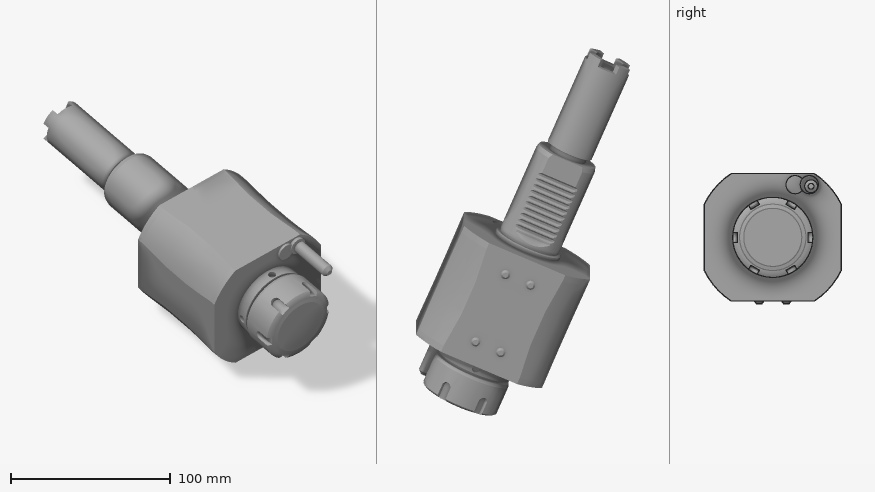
import cadquery as cq
import math


BODY_LENGTH = 76.0
BODY_WIDTH = 86.0
BODY_HEIGHT = 80.0
CORNER_RADIUS = 47.7
WAIST_RADIUS = 46.4
CORNER_LAND = 4.2
PLUG_RADIUS = 7.8
PLUG_DEPTH = 1.0
PLUG_Y = 15.8
PLUG_Z = 27.5

FLANGE_LENGTH = 2.6
FLANGE_RADIUS = 22.0
FLANGE_CHAMFER = 0.6
SEAL_GROOVE_WIDTH = 1.7
SEAL_GROOVE_DEPTH = 0.25
SHANK_START = -63.2
SHANK_RADIUS = 20.0
SHANK_CHAMFER_LENGTH = 3.0
SHANK_CHAMFER_DEPTH = 0.8
NECK_RADIUS = 12.2
SHAFT_END = -66.6
SHAFT_RADIUS = 15.0
SHAFT_CHAMFER = 0.4
SHAFT_START = -130.35

CLAW_LENGTH = 4.9
CLAW_BORE_RADIUS = 9.9
CLAW_BORE_DEPTH = 5.6
CLAW_COUNT = 4
CLAW_GAP_ANGLE = 49.0

FLAT_Z = -16.4
FLAT_END = -8.8
FLAT_RUNOUT_LENGTH = 3.5
TOOTH_PITCH = 4.0
GROOVE_COUNT = 10
GROOVE_DEPTH = 1.5
GROOVE_TOP_WIDTH = 3.4
GROOVE_FLOOR_WIDTH = 1.2
FIRST_GROOVE_X = -47.9

RING_END = 83.7
RING_RADIUS = 24.15
RING_HOLE_RADIUS = 2.5
RING_HOLE_DEPTH = 4.0
RING_HOLE_X = 80.4
RING_HOLE_COUNT = 4
NUT_NECK_RADIUS = 20.7
NUT_START = 85.5
NUT_REAR_RADIUS = 24.4
NUT_REAR_CHAMFER_LENGTH = 1.8
NUT_RADIUS = 25.1
NUT_SHOULDER_X = 106.0
NUT_ROUND_MID_X = 107.3
NUT_ROUND_MID_RADIUS = 23.2
NUT_NOSE_X = 107.9
NUT_NOSE_RADIUS = 20.8
NUT_LIP_RADIUS = 18.2
NUT_END = 108.5
NUT_SLOT_COUNT = 6
NUT_SLOT_WIDTH = 6.2
NUT_SLOT_START = 96.0
NUT_SLOT_FLOOR_RADIUS = 22.0

PIN_Y = 24.0
PIN_Z = 32.0
PIN_RADIUS = 4.0
PIN_END = 108.1
PIN_CHAMFER = 2.2
COLLAR_RADIUS = 5.7
COLLAR_Z = 33.0
PIN_COLLAR_Y = 22.9
PIN_COLLAR_LENGTH = 2.1
SIDE_COLLAR_Y = 14.0
SIDE_COLLAR_LENGTH = 1.5

SCREW_SPACING_X = 47.0
SCREW_SPACING_Y = 17.1
SCREW_HEIGHT = 1.6
SCREW_BASE_RADIUS = 2.9
SCREW_TIP_RADIUS = 1.7

CUT_CLEARANCE = 1.0

FULL_TURN = 360.0


def revolve_about_x(profile):
    return profile.close().revolve(FULL_TURN, (0, 0, 0), (1, 0, 0))


def disc_along_x(x, y, z, radius, length):
    return cq.Workplane("YZ", origin=(x, y, z)).circle(radius).extrude(length)


def make_body():
    block = cq.Workplane("XY").box(BODY_LENGTH, BODY_WIDTH, BODY_HEIGHT)
    block = block.translate((BODY_LENGTH / 2, 0, 0))
    waisted_round = revolve_about_x(
        cq.Workplane("XY")
        .moveTo(0, 0)
        .lineTo(0, CORNER_RADIUS)
        .lineTo(CORNER_LAND, CORNER_RADIUS)
        .threePointArc((BODY_LENGTH / 2, WAIST_RADIUS), (BODY_LENGTH - CORNER_LAND, CORNER_RADIUS))
        .lineTo(BODY_LENGTH, CORNER_RADIUS)
        .lineTo(BODY_LENGTH, 0)
    )
    plug_recess = disc_along_x(0, PLUG_Y, PLUG_Z, PLUG_RADIUS, PLUG_DEPTH)
    return block.intersect(waisted_round).cut(plug_recess)


def make_shank_and_shaft():
    groove_end = -FLANGE_LENGTH
    groove_start = groove_end - SEAL_GROOVE_WIDTH
    groove_radius = SHANK_RADIUS - SEAL_GROOVE_DEPTH
    return revolve_about_x(
        cq.Workplane("XY")
        .moveTo(SHAFT_START, 0)
        .lineTo(SHAFT_START, SHAFT_RADIUS)
        .lineTo(SHAFT_END - SHAFT_CHAMFER, SHAFT_RADIUS)
        .lineTo(SHAFT_END, SHAFT_RADIUS - SHAFT_CHAMFER)
        .lineTo(SHAFT_END, NECK_RADIUS)
        .lineTo(SHANK_START, NECK_RADIUS)
        .lineTo(SHANK_START, SHANK_RADIUS - SHANK_CHAMFER_DEPTH)
        .lineTo(SHANK_START + SHANK_CHAMFER_LENGTH, SHANK_RADIUS)
        .lineTo(groove_start, SHANK_RADIUS)
        .lineTo(groove_start, groove_radius)
        .lineTo(groove_end, groove_radius)
        .lineTo(groove_end, FLANGE_RADIUS - FLANGE_CHAMFER)
        .lineTo(groove_end + FLANGE_CHAMFER, FLANGE_RADIUS)
        .lineTo(0, FLANGE_RADIUS)
        .lineTo(0, 0)
    )


def make_claw_gaps():
    """Central recess and radial-sided gaps that leave the coupling claws standing."""
    gaps = disc_along_x(SHAFT_START, 0, 0, CLAW_BORE_RADIUS, CLAW_BORE_DEPTH)
    reach = 2 * SHAFT_RADIUS
    half_width = reach * math.tan(math.radians(CLAW_GAP_ANGLE / 2))
    wedge = (
        cq.Workplane("YZ", origin=(SHAFT_START, 0, 0))
        .polyline([(0, 0), (reach, -half_width), (reach, half_width)])
        .close()
        .extrude(CLAW_LENGTH)
    )
    for index in range(CLAW_COUNT):
        gaps = gaps.union(wedge.rotate((0, 0, 0), (1, 0, 0), index * FULL_TURN / CLAW_COUNT))
    return gaps


def make_flat_cut():
    """Material removed under the shank: the flat with its sloped run-out, and the tooth grooves."""
    below = -(SHANK_RADIUS + CUT_CLEARANCE)
    runout_end = FLAT_END + FLAT_RUNOUT_LENGTH
    width = 2 * SHANK_RADIUS
    flat = (
        cq.Workplane("XZ")
        .polyline([
            (SHANK_START, below),
            (SHANK_START, FLAT_Z),
            (FLAT_END, FLAT_Z),
            (runout_end, -SHANK_RADIUS),
            (runout_end, below),
        ])
        .close()
        .extrude(width / 2, both=True)
    )
    for index in range(GROOVE_COUNT):
        x = FIRST_GROOVE_X + index * TOOTH_PITCH
        groove = (
            cq.Workplane("XZ")
            .polyline([
                (x - GROOVE_TOP_WIDTH / 2, FLAT_Z),
                (x - GROOVE_FLOOR_WIDTH / 2, FLAT_Z + GROOVE_DEPTH),
                (x + GROOVE_FLOOR_WIDTH / 2, FLAT_Z + GROOVE_DEPTH),
                (x + GROOVE_TOP_WIDTH / 2, FLAT_Z),
            ])
            .close()
            .extrude(width / 2, both=True)
        )
        flat = flat.union(groove)
    return flat


def make_ring_and_nut():
    return revolve_about_x(
        cq.Workplane("XY")
        .moveTo(BODY_LENGTH, 0)
        .lineTo(BODY_LENGTH, RING_RADIUS)
        .lineTo(RING_END, RING_RADIUS)
        .lineTo(RING_END, NUT_NECK_RADIUS)
        .lineTo(NUT_START, NUT_NECK_RADIUS)
        .lineTo(NUT_START, NUT_REAR_RADIUS)
        .lineTo(NUT_START + NUT_REAR_CHAMFER_LENGTH, NUT_RADIUS)
        .lineTo(NUT_SHOULDER_X, NUT_RADIUS)
        .threePointArc((NUT_ROUND_MID_X, NUT_ROUND_MID_RADIUS), (NUT_NOSE_X, NUT_NOSE_RADIUS))
        .lineTo(NUT_END, NUT_LIP_RADIUS)
        .lineTo(NUT_END, 0)
    )


def make_ring_holes():
    hole = (
        cq.Workplane("XY", origin=(RING_HOLE_X, 0, RING_RADIUS - RING_HOLE_DEPTH))
        .circle(RING_HOLE_RADIUS)
        .extrude(2 * RING_HOLE_DEPTH)
    )
    holes = hole
    for index in range(1, RING_HOLE_COUNT):
        holes = holes.union(hole.rotate((0, 0, 0), (1, 0, 0), index * FULL_TURN / RING_HOLE_COUNT))
    return holes


def make_nut_slots():
    """Wrench slots with a flat floor and a round rear end, open at the front of the nut."""
    half_width = NUT_SLOT_WIDTH / 2
    slot = (
        cq.Workplane("XZ", origin=(0, -NUT_SLOT_FLOOR_RADIUS, 0))
        .moveTo(NUT_END, -half_width)
        .lineTo(NUT_SLOT_START + half_width, -half_width)
        .threePointArc((NUT_SLOT_START, 0), (NUT_SLOT_START + half_width, half_width))
        .lineTo(NUT_END, half_width)
        .close()
        .extrude(NUT_RADIUS - NUT_SLOT_FLOOR_RADIUS + CUT_CLEARANCE)
    )
    slots = slot
    for index in range(1, NUT_SLOT_COUNT):
        slots = slots.union(slot.rotate((0, 0, 0), (1, 0, 0), index * FULL_TURN / NUT_SLOT_COUNT))
    return slots


def make_pin():
    pin = disc_along_x(BODY_LENGTH, PIN_Y, PIN_Z, PIN_RADIUS, PIN_END - BODY_LENGTH)
    pin = pin.faces(">X").chamfer(PIN_CHAMFER)
    pin_collar = disc_along_x(BODY_LENGTH, PIN_COLLAR_Y, COLLAR_Z, COLLAR_RADIUS, PIN_COLLAR_LENGTH)
    side_collar = disc_along_x(BODY_LENGTH, SIDE_COLLAR_Y, COLLAR_Z, COLLAR_RADIUS, SIDE_COLLAR_LENGTH)
    return pin.union(pin_collar).union(side_collar)


def make_screw_heads():
    return (
        cq.Workplane("XY", origin=(BODY_LENGTH / 2, 0, -BODY_HEIGHT / 2 - SCREW_HEIGHT))
        .rarray(SCREW_SPACING_X, SCREW_SPACING_Y, 2, 2)
        .eachpoint(
            lambda place: cq.Solid.makeCone(SCREW_TIP_RADIUS, SCREW_BASE_RADIUS, SCREW_HEIGHT).moved(place),
            combine=False,
        )
    )


rear = make_shank_and_shaft().cut(make_claw_gaps()).cut(make_flat_cut())
front = make_ring_and_nut().cut(make_ring_holes()).cut(make_nut_slots())
result = make_body().union(rear).union(front).union(make_pin()).union(make_screw_heads())